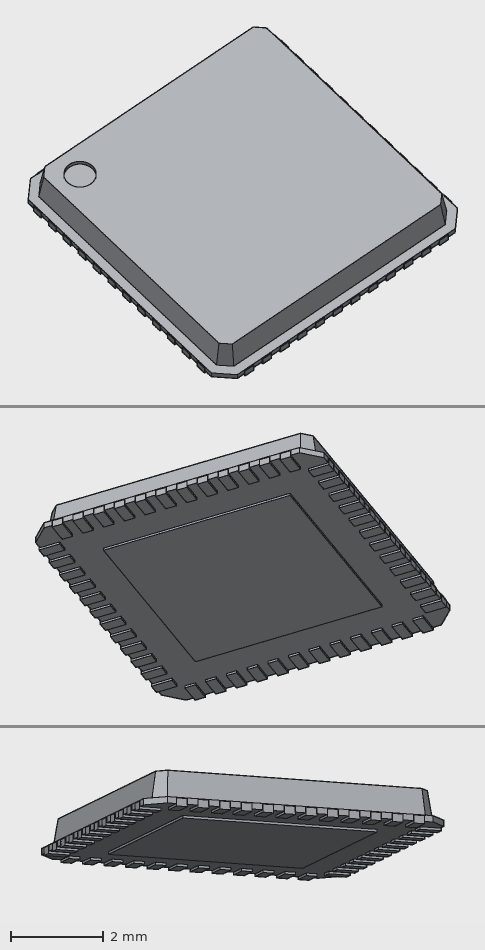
import cadquery as cq
import math

package_size = 7.0
package_height = 0.85

leads_per_side = 12
lead_pitch = package_size / 14
lead_width = lead_pitch / 2
lead_length = lead_pitch
lead_height = 0.18
lead_overhang = 0.02

standoff = 0.055
plate_size = package_size - 2 * lead_overhang
plate_top = 0.195
plate_chamfer = 0.4

pad_size = 4.5

cap_size = 6.51
cap_chamfer = 0.265
cap_inset = 0.105
cap_height = package_height - plate_top

marker_diameter = 0.7
marker_depth = 0.1
marker_offset = 2.5


def make_plate():
    """Square plate with chamfered corners, its top just above the lead tops."""
    plate = cq.Workplane("XY").workplane(offset=standoff)
    plate = plate.rect(plate_size, plate_size).extrude(plate_top - standoff)
    return plate.edges("|Z").chamfer(plate_chamfer)


def make_pad():
    """Square pad that fills the standoff below the plate."""
    return cq.Workplane("XY").rect(pad_size, pad_size).extrude(standoff)


def make_lead_row():
    """One row of leads along the -Y side."""
    row_center_y = (lead_length - package_size) / 2
    return (
        cq.Workplane("XY")
        .center(0, row_center_y)
        .rarray(lead_pitch, lead_length, leads_per_side, 1)
        .rect(lead_width, lead_length)
        .extrude(lead_height)
    )


def octagon_points(size, chamfer):
    """Corners of a square outline with its four corners cut off."""
    half = size / 2
    flat = half - chamfer
    return [
        (-flat, -half),
        (flat, -half),
        (half, -flat),
        (half, flat),
        (flat, half),
        (-flat, half),
        (-half, flat),
        (-half, -flat),
    ]


def make_cap():
    """Cap whose sides lean inwards by the cap inset, with a marker pocket."""
    draft_angle = math.degrees(math.atan2(cap_inset, cap_height))
    cap = (
        cq.Workplane("XY")
        .workplane(offset=plate_top)
        .polyline(octagon_points(cap_size, cap_chamfer))
        .close()
        .extrude(cap_height, taper=draft_angle)
    )
    marker = (
        cq.Workplane("XY")
        .workplane(offset=package_height - marker_depth)
        .center(-marker_offset, -marker_offset)
        .circle(marker_diameter / 2)
        .extrude(marker_depth)
    )
    return cap.cut(marker)


result = make_plate().union(make_pad()).union(make_cap())
lead_row = make_lead_row()
for side_angle in (0, 90, 180, 270):
    result = result.union(lead_row.rotate((0, 0, 0), (0, 0, 1), side_angle))